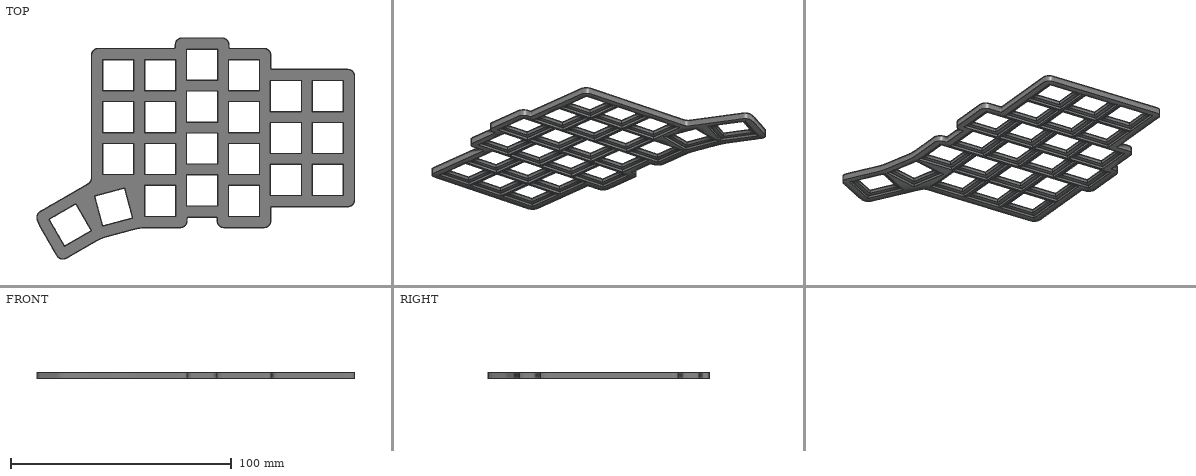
import cadquery as cq
import math

thickness = 2.8
pitch = 19.0
hole_side = 14.0
lip_thickness = 1.6
recess_side = 18.0
rim = 5.2
thumb_top_rim = 5.1
stagger = 4.75
corner_radius = 3.2
notch_radius = 0.5
thumb_bend_radius = 20.0
fan_angle = 15.0
taper_length = 5.9
taper_angle = 7.0

half_key = hole_side / 2 + rim
thumb_top = hole_side / 2 + thumb_top_rim
fan_half = math.radians(fan_angle / 2)
fan_step = pitch * (math.cos(fan_half) + math.sin(fan_half))

columns = [
    (pitch, 3),
    (0.0, 4),
    (stagger, 4),
    (0.0, 4),
    (pitch - 2 * stagger, 3),
    (pitch - 2 * stagger, 3),
]


def column_x(index):
    return (index - 1) * pitch


def column_top(index):
    lowest, count = columns[index]
    return lowest + (count - 1) * pitch + half_key


def column_bottom(index):
    return columns[index][0] - half_key


def fan_neighbour(center, mean_angle):
    """Centre of the next thumb key, stepping down and to the left."""
    a = math.radians(mean_angle)
    return (center[0] - fan_step * math.cos(a), center[1] - fan_step * math.sin(a))


def on_key(center, angle, across, up):
    """Point given in the axes of a key turned by angle."""
    a = math.radians(angle)
    x = center[0] + across * math.cos(a) - up * math.sin(a)
    y = center[1] + across * math.sin(a) + up * math.cos(a)
    return (x, y)


def lines_meet(p, p_angle, q, q_angle):
    """Crossing of two lines, each given by a point and a direction."""
    px, py = math.cos(math.radians(p_angle)), math.sin(math.radians(p_angle))
    qx, qy = math.cos(math.radians(q_angle)), math.sin(math.radians(q_angle))
    reach = ((q[0] - p[0]) * qy - (q[1] - p[1]) * qx) / (px * qy - py * qx)
    return (p[0] + reach * px, p[1] + reach * py)


inner_angle = fan_angle
outer_angle = 2 * fan_angle
inner_thumb = fan_neighbour((0.0, 0.0), inner_angle / 2)
outer_thumb = fan_neighbour(inner_thumb, (inner_angle + outer_angle) / 2)


def outline():
    """Corners of the plate, clockwise from top left, each with its rounding radius (0 is sharp)."""
    left = column_x(0) - half_key
    raised_left = column_x(2) - half_key
    raised_right = column_x(2) + half_key
    index_right = column_x(3) + half_key
    right = column_x(5) + half_key
    notch_left = column_x(1) + half_key
    notch_right = column_x(3) - half_key

    home_edge = (0.0, column_bottom(1))
    inner_edge = on_key(inner_thumb, inner_angle, 0, -half_key)
    outer_corner = on_key(outer_thumb, outer_angle, -half_key, -half_key)
    taper_start = on_key(outer_thumb, outer_angle, -half_key, thumb_top - taper_length)
    taper_inset = taper_length * math.tan(math.radians(taper_angle))
    upper_corner = on_key(outer_thumb, outer_angle, taper_inset - half_key, thumb_top)

    return [
        ((left, column_top(0)), corner_radius),
        ((raised_left, column_top(0)), notch_radius),
        ((raised_left, column_top(2)), corner_radius),
        ((raised_right, column_top(2)), corner_radius),
        ((raised_right, column_top(3)), notch_radius),
        ((index_right, column_top(3)), corner_radius),
        ((index_right, column_top(4)), notch_radius),
        ((right, column_top(4)), corner_radius),
        ((right, column_bottom(4)), corner_radius),
        ((index_right, column_bottom(4)), notch_radius),
        ((index_right, column_bottom(3)), corner_radius),
        ((notch_right, column_bottom(3)), corner_radius),
        ((notch_right, column_bottom(2)), notch_radius),
        ((notch_left, column_bottom(2)), notch_radius),
        ((notch_left, column_bottom(1)), corner_radius),
        (lines_meet(home_edge, 0, inner_edge, inner_angle), thumb_bend_radius),
        (lines_meet(inner_edge, inner_angle, outer_corner, outer_angle), thumb_bend_radius),
        (outer_corner, corner_radius),
        (taper_start, 0.0),
        (upper_corner, corner_radius),
        (lines_meet(upper_corner, outer_angle, (left, 0.0), 90), corner_radius),
    ]


def plate():
    corners = outline()
    body = cq.Workplane("XY").polyline([point for point, _ in corners]).close().extrude(thickness)
    for (x, y), radius in corners:
        if radius > 0:
            nearest = cq.selectors.NearestToPointSelector((x, y, thickness / 2))
            body = body.edges("|Z").edges(nearest).fillet(radius)
    return body


def key_opening(center, angle):
    """Switch cutout through the plate, widened below the lip."""
    hole = cq.Workplane("XY").rect(hole_side, hole_side).extrude(thickness)
    recess = cq.Workplane("XY").rect(recess_side, recess_side).extrude(thickness - lip_thickness)
    return hole.union(recess).rotate((0, 0, 0), (0, 0, 1), angle).translate((center[0], center[1], 0))


def key_places():
    """Centre and turn of every key, the two fanned thumb keys last."""
    places = []
    for index, (lowest, count) in enumerate(columns):
        for row in range(count):
            places.append(((column_x(index), lowest + row * pitch), 0.0))
    places.append((inner_thumb, inner_angle))
    places.append((outer_thumb, outer_angle))
    return places


result = plate()
for key_center, key_angle in key_places():
    result = result.cut(key_opening(key_center, key_angle))